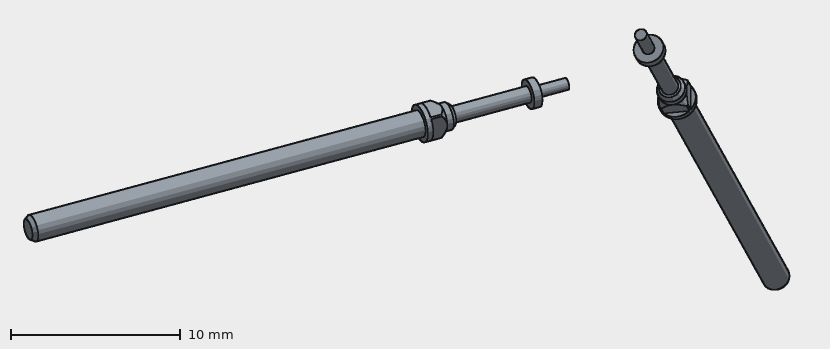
import cadquery as cq

total_length = 35.0
tip_end = total_length / 2
tail_end = -total_length / 2

tip_diameter = 0.75
tip_length = 2.0

flange_diameter = 1.82
flange_thickness = 0.52

stem_diameter = 1.0
stem_length = 4.97

head_diameter = 1.7
head_cone_diameter = 1.33
head_cone_length = 0.25
head_neck_length = 0.42

square_width = 1.7
square_corner_diameter = 2.3
square_length = 1.05
square_lead_length = 0.35

collar_diameter = 2.3
collar_thickness = 0.35

barrel_diameter = 1.65
tail_chamfer_length = 0.28
tail_chamfer_depth = 0.192


def rod(start_y, length, diameter):
    """Cylinder along Y, running from start_y toward -Y."""
    return cq.Workplane("XZ", origin=(0, start_y, 0)).circle(diameter / 2).extrude(length)


def cone(start_y, length, start_diameter, end_diameter):
    """Truncated cone along Y, running from start_y toward -Y."""
    profile = [
        (0, start_y),
        (start_diameter / 2, start_y),
        (end_diameter / 2, start_y - length),
        (0, start_y - length),
    ]
    return cq.Workplane("XY").polyline(profile).close().revolve(360, (0, 0, 0), (0, 1, 0))


flange_start = tip_end - tip_length
stem_start = flange_start - flange_thickness
head_start = stem_start - stem_length
neck_start = head_start - head_cone_length
square_start = neck_start - head_neck_length
collar_start = square_start - square_length
barrel_start = collar_start - collar_thickness

tip = rod(tip_end, tip_length, tip_diameter)
flange = rod(flange_start, flange_thickness, flange_diameter)
stem = rod(stem_start, stem_length, stem_diameter)

head = cone(head_start, head_cone_length, head_cone_diameter, head_diameter)
head = head.union(rod(neck_start, head_neck_length, head_diameter))

square_envelope = cone(square_start, square_lead_length, head_diameter, square_corner_diameter).union(
    rod(square_start - square_lead_length, square_length - square_lead_length, square_corner_diameter)
)
square = (
    cq.Workplane("XZ", origin=(0, square_start, 0))
    .rect(square_width, square_width)
    .extrude(square_length)
    .intersect(square_envelope)
)

collar = rod(collar_start, collar_thickness, collar_diameter)
chamfer_start = tail_end + tail_chamfer_length
tail_face_diameter = barrel_diameter - 2 * tail_chamfer_depth
barrel = rod(barrel_start, barrel_start - chamfer_start, barrel_diameter)
barrel = barrel.union(cone(chamfer_start, tail_chamfer_length, barrel_diameter, tail_face_diameter))

result = tip.union(flange).union(stem).union(head).union(square).union(collar).union(barrel)